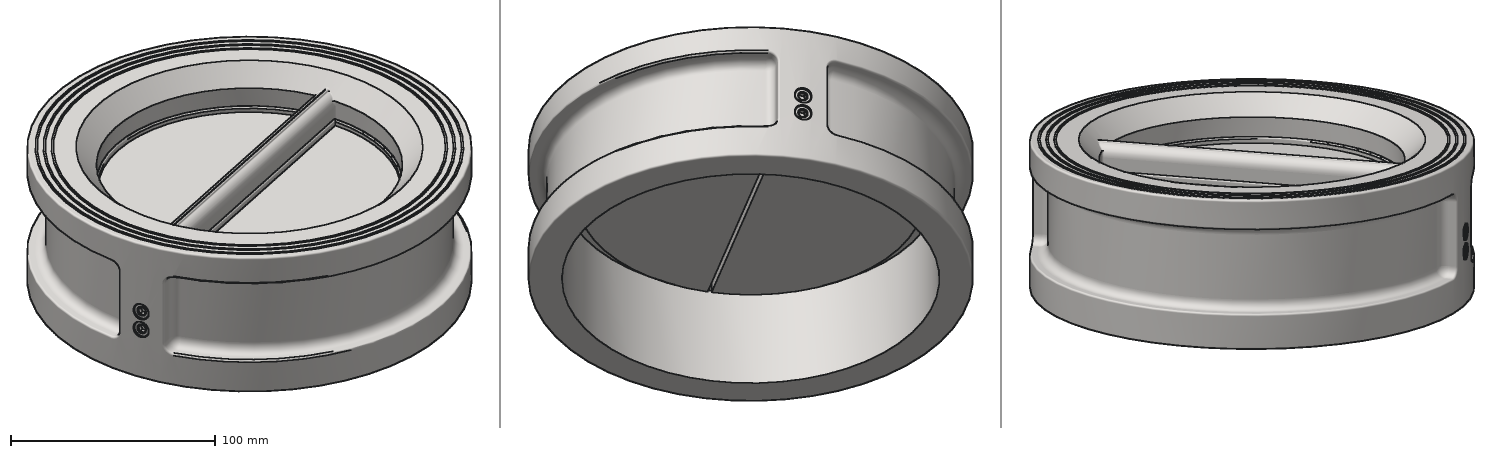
import cadquery as cq
import math


TOLERANCE = 0.1
BOTH_SIDES = (-1, 1)

HEIGHT = 76
TOP_Z = HEIGHT / 2
BOTTOM_Z = -HEIGHT / 2
BODY_R = 218 / 2
RIM_FILLET = 1

CONE_TOP_R = 85
THROAT_R = 75
CONE_BOTTOM_Z = TOP_Z - (CONE_TOP_R - THROAT_R)
SEAT_Z = TOP_Z - 20

SEAL_THICKNESS = 3
SEAL_BOTTOM_Z = SEAT_Z - SEAL_THICKNESS
SEAL_OUTER_R = 80
SEAL_LIP = 1
SEAL_FILLET = 0.9

CHAMBER_R = 185 / 2
FLAP_R = 85
FLAP_THICKNESS = 6
FLAP_GAP = 2

GROOVE_OUTER_R = 104.5
GROOVE_PITCH = 3.95
GROOVE_COUNT = 3
GROOVE_PROFILE_R = 0.5

POCKET_FLOOR_R = 100
POCKET_TOP_Z = 23
POCKET_BOTTOM_Z = -20
LUG_HALF_WIDTH = 12.5
POCKET_FILLET = 5
POCKET_MOUTH_FILLET = 1

BAR_HALF_WIDTH = 6
BAR_CROWN_Z = CONE_BOTTOM_Z + 2.7
BAR_SHOULDER_Z = BAR_CROWN_Z - BAR_HALF_WIDTH
BAR_END_FILLET = 0.8
RIDGE_R = 1.93 / 2
RIDGE_ROOT_FILLET = 0.5

PLUG_D = 8
PLUG_MOUTH_D = 8.5
PLUG_RECESS = 0.8
PLUG_LENGTH = 10
PLUG_FACE_R = BODY_R - PLUG_RECESS
PLUG_BACK_R = PLUG_FACE_R - PLUG_LENGTH
PLUG_HEIGHTS = (-0.5, -10.5)
SOCKET_CHAMFER_D = 5
SOCKET_ACROSS_CORNERS = 4.5
SOCKET_DEPTH = 3


def cylinder(radius, bottom_z, top_z):
    return cq.Workplane("XY").workplane(offset=bottom_z).circle(radius).extrude(top_z - bottom_z)


def revolve_about_z(outline):
    return outline.close().revolve(360, (0, 0, 0), (0, 1, 0))


def distance_from_axis(point):
    return math.hypot(point.x, point.y)


def make_shell():
    """Turned body: cone, throat, seal recess and flap chamber, with rounded outer rims."""
    arc_inset = RIM_FILLET * (1 - math.sqrt(0.5))
    arc_r = BODY_R - arc_inset
    rim_start_r = BODY_R - RIM_FILLET
    outline = (
        cq.Workplane("XZ")
        .moveTo(CONE_TOP_R, TOP_Z)
        .lineTo(rim_start_r, TOP_Z)
        .threePointArc((arc_r, TOP_Z - arc_inset), (BODY_R, TOP_Z - RIM_FILLET))
        .lineTo(BODY_R, BOTTOM_Z + RIM_FILLET)
        .threePointArc((arc_r, BOTTOM_Z + arc_inset), (rim_start_r, BOTTOM_Z))
        .lineTo(CHAMBER_R, BOTTOM_Z)
        .lineTo(CHAMBER_R, SEAL_BOTTOM_Z)
        .lineTo(SEAL_OUTER_R, SEAL_BOTTOM_Z)
        .lineTo(SEAL_OUTER_R, SEAT_Z)
        .lineTo(THROAT_R, SEAT_Z)
        .lineTo(THROAT_R, CONE_BOTTOM_Z)
    )
    return revolve_about_z(outline)


def make_groove(radius):
    profile = cq.Workplane("XZ").center(radius, TOP_Z).circle(GROOVE_PROFILE_R)
    return profile.revolve(360, (-radius, 0, 0), (-radius, 1, 0))


def make_pocket(side):
    """Half-ring cutter on the -X or +X side, rounded along its floor and its corners."""
    cutter_r = BODY_R + 2 * POCKET_FILLET
    ring = cylinder(cutter_r, POCKET_BOTTOM_Z, POCKET_TOP_Z).cut(
        cylinder(POCKET_FLOOR_R, POCKET_BOTTOM_Z, POCKET_TOP_Z)
    )
    keep = cq.Workplane("XY").box(2 * cutter_r, 2 * cutter_r, HEIGHT)
    half_ring = ring.intersect(keep.translate((side * (cutter_r + LUG_HALF_WIDTH), 0, 0)))
    inner_edges = [
        edge
        for edge in half_ring.edges().vals()
        if distance_from_axis(edge.positionAt(0.5)) < cutter_r - TOLERANCE
    ]
    return half_ring.newObject(inner_edges).fillet(POCKET_FILLET)


def round_pocket_mouths(body):
    def on_mouth(edge):
        middle = edge.positionAt(0.5)
        return (
            abs(distance_from_axis(middle) - BODY_R) < TOLERANCE
            and POCKET_BOTTOM_Z - TOLERANCE < middle.z < POCKET_TOP_Z + TOLERANCE
            and abs(middle.x) > LUG_HALF_WIDTH - TOLERANCE
        )

    mouth_edges = [edge for edge in body.edges().vals() if on_mouth(edge)]
    return body.newObject(mouth_edges).fillet(POCKET_MOUTH_FILLET)


def make_bar():
    """Round-topped bar with a round ridge on its crown, trimmed to the throat and the cone."""
    bar = (
        cq.Workplane("XZ")
        .moveTo(-BAR_HALF_WIDTH, SEAT_Z)
        .lineTo(-BAR_HALF_WIDTH, BAR_SHOULDER_Z)
        .threePointArc((0, BAR_CROWN_Z), (BAR_HALF_WIDTH, BAR_SHOULDER_Z))
        .lineTo(BAR_HALF_WIDTH, SEAT_Z)
        .close()
        .extrude(CONE_TOP_R, both=True)
    )
    ridge = cq.Workplane("XZ").center(0, BAR_CROWN_Z).circle(RIDGE_R).extrude(CONE_TOP_R, both=True)
    ridge_roots = cq.selectors.BoxSelector(
        (-2 * RIDGE_R, -1, BAR_CROWN_Z - RIDGE_R),
        (2 * RIDGE_R, 1, BAR_CROWN_Z + RIDGE_R / 2),
    )
    bar = bar.union(ridge).edges(ridge_roots).fillet(RIDGE_ROOT_FILLET)
    opening = (
        cq.Workplane("XZ")
        .moveTo(0, SEAT_Z)
        .lineTo(THROAT_R, SEAT_Z)
        .lineTo(THROAT_R, CONE_BOTTOM_Z)
        .lineTo(CONE_TOP_R, TOP_Z)
        .lineTo(0, TOP_Z)
    )
    return bar.intersect(revolve_about_z(opening))


def round_bar_ends(body):
    """Fillet where the bar and its ridge meet the throat wall and the cone."""
    def on_bar_end(edge):
        middle = edge.positionAt(0.5)
        return (
            SEAT_Z + TOLERANCE < middle.z < TOP_Z - TOLERANCE
            and abs(middle.x) < BAR_HALF_WIDTH + TOLERANCE
            and THROAT_R - TOLERANCE < distance_from_axis(middle) < CONE_TOP_R - TOLERANCE
        )

    end_edges = [edge for edge in body.edges().vals() if on_bar_end(edge)]
    return body.newObject(end_edges).fillet(BAR_END_FILLET)


def place_on_lug(shape, side, z):
    """Turn a shape made along +Z so that it points outward along Y at the given height."""
    return shape.rotate((0, 0, 0), (1, 0, 0), -90 * side).translate((0, 0, z))


def make_plug_hole(side, z):
    hole = cylinder(PLUG_D / 2, PLUG_BACK_R, PLUG_FACE_R)
    mouth = cylinder(PLUG_MOUTH_D / 2, PLUG_FACE_R, BODY_R + 1)
    return place_on_lug(hole.union(mouth), side, z)


def make_housing():
    body = make_shell()
    for index in range(GROOVE_COUNT):
        body = body.cut(make_groove(GROOVE_OUTER_R - index * GROOVE_PITCH))
    for side in BOTH_SIDES:
        body = body.cut(make_pocket(side))
    body = round_pocket_mouths(body)
    body = round_bar_ends(body.union(make_bar()))
    for side in BOTH_SIDES:
        for z in PLUG_HEIGHTS:
            body = body.cut(make_plug_hole(side, z))
    return body


def make_seal():
    """Flat ring with a strip under the bar, rounded along the two half-round windows."""
    ring = cylinder(SEAL_OUTER_R, SEAL_BOTTOM_Z, SEAT_Z)
    opening = cylinder(THROAT_R - SEAL_LIP, SEAL_BOTTOM_Z, SEAT_Z)
    strip = cq.Workplane("XY").box(2 * (BAR_HALF_WIDTH + SEAL_LIP), 2 * SEAL_OUTER_R, HEIGHT)
    seal = ring.cut(opening.cut(strip))
    window_edges = [
        edge for window in seal.faces(">Z").val().innerWires() for edge in window.Edges()
    ]
    return seal.newObject(window_edges).fillet(SEAL_FILLET)


def make_flap(side):
    disc = cylinder(FLAP_R, SEAL_BOTTOM_Z - FLAP_THICKNESS, SEAL_BOTTOM_Z)
    keep = cq.Workplane("XY").box(2 * FLAP_R, 2 * FLAP_R, HEIGHT)
    return disc.intersect(keep.translate((side * (FLAP_R + FLAP_GAP / 2), 0, 0)))


def make_plug(side, z):
    """Cylindrical plug with a hexagon socket whose mouth is countersunk."""
    plug = cylinder(PLUG_D / 2, PLUG_BACK_R, PLUG_FACE_R)
    socket = (
        cq.Workplane("XY")
        .workplane(offset=PLUG_FACE_R)
        .polygon(6, SOCKET_ACROSS_CORNERS)
        .extrude(-SOCKET_DEPTH)
    )
    countersink_r = SOCKET_CHAMFER_D / 2
    countersink = revolve_about_z(
        cq.Workplane("XZ")
        .moveTo(0, PLUG_FACE_R)
        .lineTo(countersink_r, PLUG_FACE_R)
        .lineTo(0, PLUG_FACE_R - countersink_r)
    )
    return place_on_lug(plug.cut(socket).cut(countersink), side, z)


housing = make_housing()
seal = make_seal()
flaps = [make_flap(side).val() for side in BOTH_SIDES]
plugs = [make_plug(side, z).val() for side in BOTH_SIDES for z in PLUG_HEIGHTS]

result = cq.Compound.makeCompound([housing.val(), seal.val(), *flaps, *plugs])